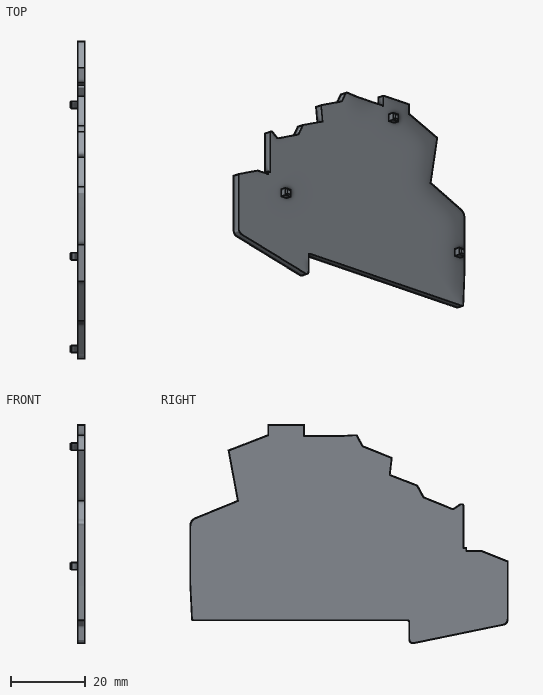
import cadquery as cq

plate_thickness = 2.0
plate_length = 85.11
plate_height = 58.54

peg_size = 2.0
peg_length = 2.0
peg_tip_chamfer = 0.4
lower_peg_z = 20.7
peg_centres = [(2.65, lower_peg_z), (68.1, lower_peg_z), (27.5, 52.75)]

base_z = 6.15
foot_y = 58.7
foot_tip_z = -0.225
shoulder_z = 24.8
notch_y = 74.0
notch_z = 25.55
wall_y = 73.3
ridge_z = 55.6
taper_start_z = 15.4
tab_high_y = 30.55
tab_low_y = 20.85

foot_root = (foot_y, base_z)
foot_tip = (foot_y, foot_tip_z)
foot_heel = (plate_length, 5.2)
wall_top = (wall_y, 37.85)
ridge_peak = (44.6, 55.85)
low_end_top = (0, 33.0)
low_end_bottom = (0.45, base_z)

outline = [
    low_end_bottom,
    foot_root,
    foot_tip,
    foot_heel,
    (plate_length, 21.95),
    (78.0, shoulder_z),
    (notch_y, shoulder_z),
    (notch_y, notch_z),
    (wall_y, notch_z),
    wall_top,
    (70.45, 35.95),
    (62.55, 39.15),
    (60.85, 42.3),
    (53.5, 45.15),
    (54.05, 49.7),
    (46.2, 52.85),
    ridge_peak,
    (40.6, ridge_z),
    (tab_high_y, ridge_z),
    (tab_high_y, plate_height),
    (tab_low_y, plate_height),
    (tab_low_y, 55.8),
    (10.25, 51.7),
    (12.75, 38.2),
    low_end_top,
    (0, taper_start_z),
]

rounded_corners = [
    (low_end_bottom, 0.4),
    (foot_root, 0.4),
    (foot_tip, 1.0),
    (foot_heel, 1.5),
    (wall_top, 0.6),
    (ridge_peak, 0.6),
    (low_end_top, 2.2),
]


def make_plate():
    plate = cq.Workplane("YZ").polyline(outline).close().extrude(plate_thickness)
    for (y, z), radius in rounded_corners:
        corner_edge = cq.selectors.NearestToPointSelector((plate_thickness / 2, y, z))
        plate = plate.edges(corner_edge).fillet(radius)
    return plate


def make_peg(y, z):
    peg = cq.Workplane("YZ").center(y, z).rect(peg_size, peg_size).extrude(-peg_length)
    return peg.faces("<X").chamfer(peg_tip_chamfer)


result = make_plate()
for peg_y, peg_z in peg_centres:
    result = result.union(make_peg(peg_y, peg_z))